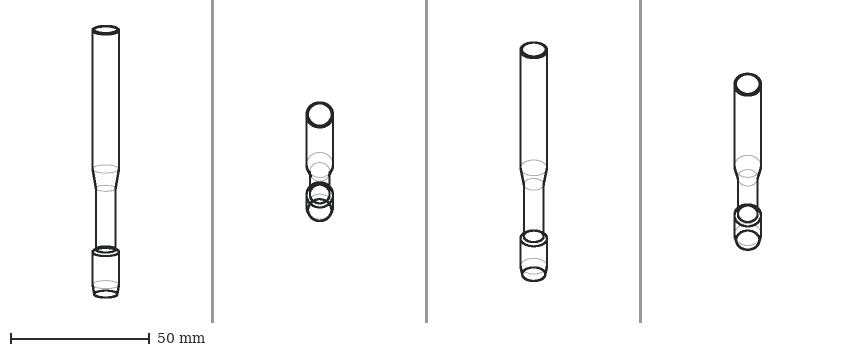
import cadquery as cq

total_length = 100.0
body_radius = 4.8
neck_radius = 3.6

tip_radius = 4.2
lead_length = 3.6
head_edge_z = 15.9
head_shoulder_height = 1.0

neck_top_z = 40.0
shank_bottom_z = 47.3
end_chamfer_width = 0.5
end_chamfer_height = 0.4

head_top_z = head_edge_z + head_shoulder_height


def turned_body(profile):
    """Revolve a closed (radius, height) outline about the Z axis."""
    return cq.Workplane("XZ").polyline(profile).close().revolve(360, (0, 0), (0, 1))


def make_cutting_head():
    """Head with a tapered lead and a conical shoulder that ends at the neck."""
    return turned_body([
        (0, 0),
        (tip_radius, 0),
        (body_radius, lead_length),
        (body_radius, head_edge_z),
        (neck_radius, head_top_z),
        (0, head_top_z),
    ])


def make_holder():
    """Neck that widens into a plain shank with a chamfered end."""
    return turned_body([
        (0, head_top_z),
        (neck_radius, head_top_z),
        (neck_radius, neck_top_z),
        (body_radius, shank_bottom_z),
        (body_radius, total_length - end_chamfer_height),
        (body_radius - end_chamfer_width, total_length),
        (0, total_length),
    ])


cutting_head = make_cutting_head()
holder = make_holder()

result = cq.Compound.makeCompound([cutting_head.val(), holder.val()])